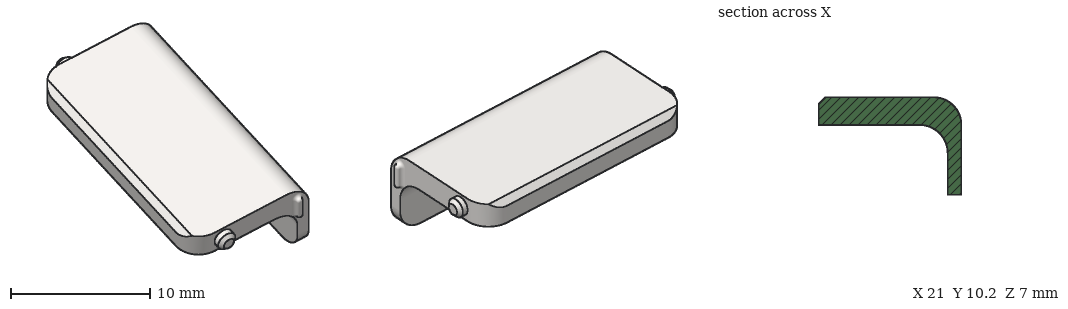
import cadquery as cq
import math

body_width = 19.5
body_depth = 10.25
body_height = 7.0
plate_thickness = 2.0
leg_thickness = 1.0
bend_radius = 2.0
corner_radius = 2.0
front_chamfer = 0.5

pin_diameter = 1.5
pin_length = 0.75
pin_chamfer = 0.3
pin_y = -(body_depth - corner_radius - pin_diameter / 2)
pin_z = -plate_thickness / 2

rib_half_width = 0.25
rib_length = 0.45
rib_root_radius = 0.3
rib_tip_radius = 0.2
rib_y = -1.0
rib_top_z = -1.0
rib_bottom_z = -2.5

half_width = body_width / 2


def make_section_prism(x_start, length):
    """L-section in the YZ plane, extruded along X."""
    section = (
        cq.Workplane("YZ", origin=(x_start, 0, 0))
        .moveTo(-bend_radius, 0)
        .lineTo(-body_depth, 0)
        .lineTo(-body_depth, -plate_thickness)
        .lineTo(-leg_thickness - bend_radius, -plate_thickness)
        .radiusArc((-leg_thickness, -plate_thickness - bend_radius), bend_radius)
        .lineTo(-leg_thickness, -body_height)
        .lineTo(0, -body_height)
        .lineTo(0, -bend_radius)
        .radiusArc((-bend_radius, 0), -bend_radius)
        .close()
    )
    return section.extrude(length)


def make_body():
    """Cover body with rounded free corners and a chamfered front top edge."""
    body = make_section_prism(-half_width, body_width)
    body = body.faces("<Y").edges("|Z").fillet(corner_radius)
    body = body.faces("<Z").edges("|Y").fillet(corner_radius)
    chamfer_cutter = (
        cq.Workplane("YZ", origin=(-half_width, 0, 0))
        .moveTo(-body_depth, 0)
        .lineTo(-body_depth + front_chamfer, 0)
        .lineTo(-body_depth, -front_chamfer)
        .close()
        .extrude(body_width)
    )
    return body.cut(chamfer_cutter)


def make_pin():
    """Pivot pin with a chamfered tip on the +X end face."""
    return (
        cq.Workplane("YZ", origin=(half_width, pin_y, pin_z))
        .circle(pin_diameter / 2)
        .extrude(pin_length)
        .faces(">X")
        .chamfer(pin_chamfer)
    )


def rib_half_profile(z):
    """Half of the rib section at height z: the root fillet flows tangentially into the tip round."""
    tip_centre_x = rib_length - rib_tip_radius
    tip_centre_y = rib_half_width - rib_tip_radius
    centre_distance = rib_root_radius + rib_tip_radius
    centre_offset_x = rib_root_radius - tip_centre_x
    centre_offset_y = math.sqrt(centre_distance**2 - centre_offset_x**2)
    tip_share = rib_tip_radius / centre_distance
    tangent_point = (
        tip_centre_x + tip_share * centre_offset_x,
        tip_centre_y + tip_share * centre_offset_y,
    )
    return (
        cq.Workplane("XY", origin=(half_width, rib_y, z))
        .lineTo(0, tip_centre_y + centre_offset_y)
        .radiusArc(tangent_point, -rib_root_radius)
        .radiusArc((rib_length, tip_centre_y), rib_tip_radius)
        .lineTo(rib_length, 0)
        .close()
    )


def make_rib():
    """Detent rib on the +X end face, kept inside the L-section outline."""
    rib_height = rib_top_z - rib_bottom_z
    half_rib = rib_half_profile(rib_bottom_z).extrude(rib_height)
    rib = half_rib.union(half_rib.mirror("XZ", (0, rib_y, 0)))
    for end_z in (rib_bottom_z, rib_top_z):
        rib = rib.union(rib_half_profile(end_z).revolve(360, (0, 0, 0), (1, 0, 0)))
    return rib.intersect(make_section_prism(half_width, rib_length))


end_features = make_pin().union(make_rib())
result = make_body().union(end_features).union(end_features.mirror("YZ"))